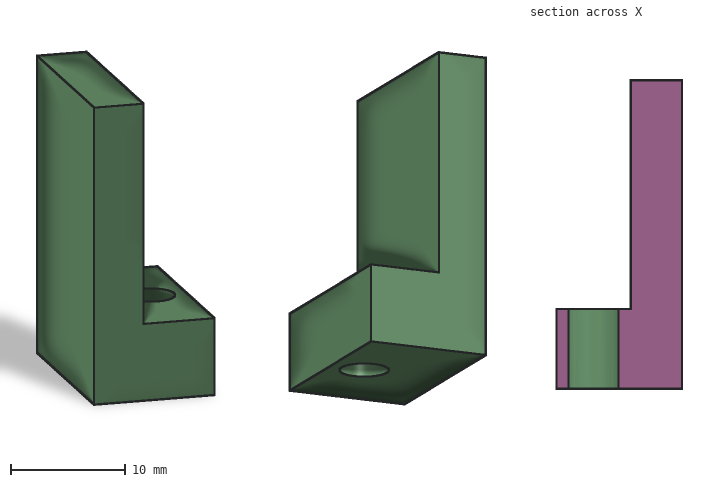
import cadquery as cq

width = 17.6
depth = 11.0
height = 27.0

plate_thickness = 4.5
foot_height = 7.0
hole_diameter = 4.32

hole_y = (plate_thickness + depth) / 2


def block(size_y, size_z):
    """Full-width block standing on Z = 0 with its front face on Y = 0."""
    return cq.Workplane("XY").box(width, size_y, size_z, centered=(True, False, False))


plate = block(plate_thickness, height)
foot = block(depth, foot_height)
hole = cq.Workplane("XY").center(0, hole_y).circle(hole_diameter / 2).extrude(foot_height)

result = plate.union(foot).cut(hole)